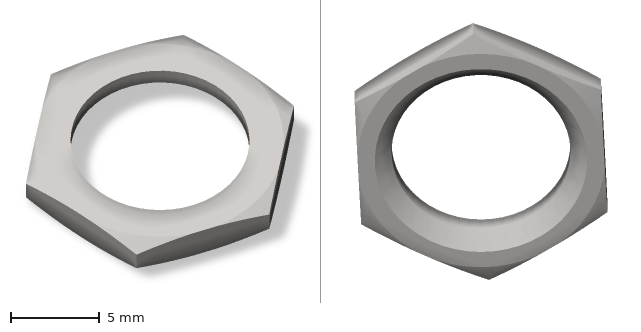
import cadquery as cq
import math

across_flats = 14.0
across_corners = 16.0
flat_length = 8.09
thickness = 2.01

crown_diameter = across_flats
crown_angle = 20.0
crown_margin = 0.2

bore_diameter = 10.11
countersink_diameter = 12.0
countersink_depth = (countersink_diameter - bore_diameter) / 2


def revolved_about_z(profile):
    """Solid of revolution from (radius, height) points."""
    return cq.Workplane("XZ").polyline(profile).close().revolve(360, (0, 0), (0, 1))


def hexagonal_plate():
    half_flat = flat_length / 2
    half_width = across_flats / 2
    tip = across_corners / 2
    outline = [
        (tip, 0),
        (half_flat, half_width),
        (-half_flat, half_width),
        (-tip, 0),
        (-half_flat, -half_width),
        (half_flat, -half_width),
    ]
    return cq.Workplane("XY").polyline(outline).close().extrude(thickness)


def crowned_envelope():
    """Disc with a conical bevel on both rims, wider than the hexagon corners."""
    crown_radius = crown_diameter / 2
    rim_radius = math.hypot(across_flats, flat_length) / 2 + crown_margin
    rim_drop = (rim_radius - crown_radius) * math.tan(math.radians(crown_angle))
    return revolved_about_z([
        (0, 0),
        (crown_radius, 0),
        (rim_radius, rim_drop),
        (rim_radius, thickness - rim_drop),
        (crown_radius, thickness),
        (0, thickness),
    ])


def bore():
    return cq.Workplane("XY").circle(bore_diameter / 2).extrude(thickness)


def bottom_countersink():
    """Cone that opens toward the bottom face and ends at the bore."""
    return revolved_about_z([
        (0, 0),
        (countersink_diameter / 2, 0),
        (bore_diameter / 2, countersink_depth),
        (0, countersink_depth),
    ])


crowned_plate = hexagonal_plate().intersect(crowned_envelope())
result = crowned_plate.cut(bore()).cut(bottom_countersink())